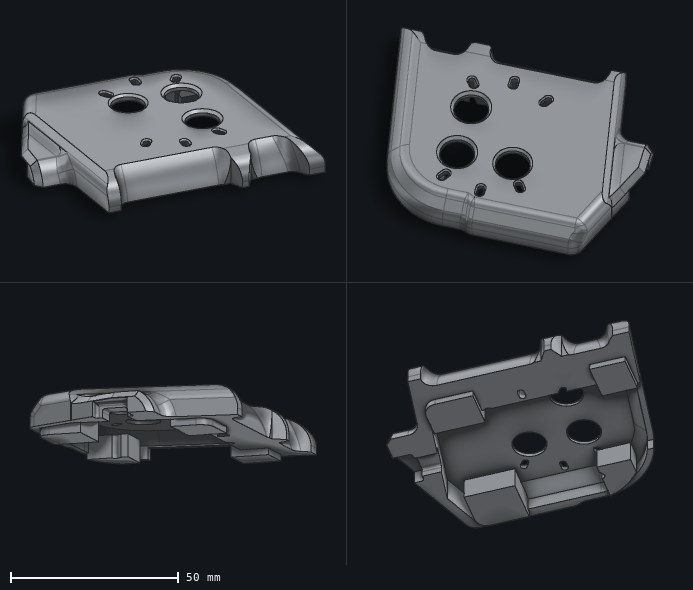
import cadquery as cq
import math

length_x = 66.0
length_y = 83.7
height = 9.95
foot_height = 2.0
wall = 2.0
overcut = 8.4

slope = math.tan(math.radians(9.2))
step_depth = 1.1
step_start, step_end = 46.0, 48.2
back_corner_radius = 22.0
edge_radius = 4.0
edge_chamfer = 5.0

front_left_x = 31.2
slant = math.tan(math.radians(22.6))
front_right_x = 44.2
front_right_radius = 10.6
shelf_tilt = math.radians(77)
shelf_rounding = 0.8
shelf_top_x = 39.15
shelf_height = 6.8
shelf_left_x = 16.3
shelf_chamfer = 2.0
ridge_end_y = 14.4
ridge_chamfer = 3.0
bevel_foot_z = height - ridge_chamfer

nose_radius = 7.95
recess_top_x, recess_foot_x = 56.2, 61.9
recess_radius = 20.1
recess_fillet = 3.7
cut_start_x = 50.2
prong_front_y = 18.4
prong_root_x = 62.25
prong_root_low, prong_root_high = 54.9, 61.3
prong_tip_low, prong_tip_high = 57.15, 59.2
back_prong_root, back_prong_middle, back_prong_tip = (55.9, 73.6), (61.9, 75.55), (66.0, 78.6)

hole_diameter = 10.4
hole_pitch = 17.1
hole_x, hole_y = 21.5, 55.1
hole_layout = [
    (hole_x, hole_y, 0.9),
    (hole_x + hole_pitch, hole_y, 0.9),
    (hole_x, hole_y - hole_pitch, 0.75),
]
slot_center = (30.0, 45.0)
slot_length, slot_width, slot_chamfer = 3.8, 2.0, 0.5
slot_angle = 34.0
slot_layout = [
    (0, 20.4),
    (slot_angle, 21.25),
    (180 - slot_angle, 21.25),
    (180, 20.4),
    (180 + slot_angle, 19.6),
    (-slot_angle, 19.6),
]

cavity_right_x = 47.4
slant_inset = 3.35

plug_center_x = 30.2
plug_width, plug_height, plug_depth = 12.0, 4.6, 6.0
plug_rounding = 1.0
passage_width, passage_height = 7.95, 2.85
window_left_x = 16.4
window_height = 3.6

foot_left, foot_right = (1.8, 15.8), (44.35, 56.3)
foot_front = (15.7, 31.6)
foot_back_left, foot_back_right = (57.3, 67.85), (68.2, 79.3)
foot_top = 5.0


def prism(points, z_low, z_high):
    """Vertical prism over a closed polygon."""
    return cq.Workplane("XY", origin=(0, 0, z_low)).polyline(points).close().extrude(z_high - z_low)


def ridge_y(x, setback=0.0):
    """Y of the ridge foot line at x, moved back at right angles by setback."""
    return ridge_end_y - slope * (length_x - x) + setback * math.hypot(1, slope)


def slant_y(x):
    """Y of the slanted front wall at x."""
    return slant * (front_left_x - x)


def back_y(x):
    """Y of the back wall at x."""
    return length_y - slope * (length_x - x)


def nearest(*point):
    """Selector for the edge or face whose centre is nearest to a point."""
    return cq.selectors.NearestToPointSelector(point)


def bevel_rim(body, rim_x, y):
    """Bevel the top edge running past (rim_x, y) and round both edges of the bevel."""
    body = body.edges(nearest(rim_x, y, height)).chamfer(edge_chamfer)
    body = body.edges(nearest(rim_x + edge_chamfer, y, height)).fillet(edge_radius)
    return body.edges(nearest(rim_x, y, height - edge_chamfer)).fillet(edge_radius)


def left_back_body():
    """Block with the stepped left wall and tilted back wall, both bevelled and rounded."""
    far_x = length_x + 2 * overcut
    front_y = -2 * overcut
    back_part = prism(
        [(step_depth, front_y), (step_depth, back_y(step_depth)), (far_x, back_y(far_x)), (far_x, front_y)],
        0,
        height,
    )
    back_part = back_part.edges(nearest(step_depth, back_y(step_depth), height / 2)).fillet(back_corner_radius)
    back_part = bevel_rim(back_part, step_depth, back_y(0) / 3)

    front_part = cq.Workplane("XY").box(far_x, step_start - front_y, height, centered=False)
    front_part = bevel_rim(front_part.translate((0, front_y, 0)), 0, (step_start + front_y) / 2)
    end_face = front_part.faces(">Y").val()
    ramp = cq.Solid.extrudeLinear(end_face, cq.Vector(step_depth, step_end - step_start, 0))
    body = back_part.union(front_part).union(cq.Workplane(ramp))
    for y in (step_start, step_end):
        body = body.edges(cq.selectors.BoxSelector((-0.8, y - 0.1, 0.1), (edge_chamfer + 2.5, y + 0.1, height - 0.1)))
        body = body.fillet(edge_radius)
    return body


def trim_slanted_front(body):
    """Cut the body along the slanted front wall, rounding its top edge and its corner."""
    left_x, right_x = -overcut, length_x + overcut
    keep = prism(
        [(left_x, slant_y(left_x)), (right_x, slant_y(right_x)), (right_x, 2 * length_y), (left_x, 2 * length_y)],
        0,
        height,
    )
    mid_x = (left_x + right_x) / 2
    keep = keep.edges(nearest(mid_x, slant_y(mid_x), height)).fillet(edge_radius)
    body = body.intersect(keep)
    crease = cq.selectors.BoxSelector((-0.8, slant_y(0) - 0.8, 0.1), (6.7, slant_y(0) + 4.2, height - 0.1))
    return body.edges(crease).fillet(edge_radius)


def trim_ridge(body):
    """Cut the body along the bevelled ridge at its front."""
    left_x, right_x = -overcut, length_x + overcut
    keep = prism(
        [(left_x, ridge_y(left_x)), (right_x, ridge_y(right_x)), (right_x, 2 * length_y), (left_x, 2 * length_y)],
        0,
        height,
    )
    mid_x = (left_x + right_x) / 2
    keep = keep.edges(nearest(mid_x, ridge_y(mid_x), height)).chamfer(ridge_chamfer)
    keep = keep.edges(nearest(mid_x, ridge_y(mid_x), bevel_foot_z)).fillet(edge_radius)
    return body.intersect(keep)


def shelf_curved_end():
    """Block up to the curved right end of the shelf, tall enough to take in its rear cove."""
    center_x = front_right_x - front_right_radius * math.sin(shelf_tilt)
    center_z = -front_right_radius * math.cos(shelf_tilt)
    top_z = height - wall
    top_x = center_x + math.sqrt(front_right_radius**2 - (top_z - center_z) ** 2)
    return (
        cq.Workplane("XZ")
        .moveTo(0, 0)
        .lineTo(front_right_x, 0)
        .radiusArc((top_x, top_z), -front_right_radius)
        .lineTo(0, top_z)
        .close()
        .extrude(-length_y / 2)
    )


def coved_slab():
    """Slab along the ridge: level in front, sweeping up at the rear into the 45 degree bevel."""
    rear = 2.5
    front = 2 * overcut
    cove_center_z = shelf_height + edge_radius
    cove_front = edge_radius * math.sqrt(2) - (cove_center_z - bevel_foot_z)
    half_chord = edge_radius * math.sqrt(0.5)
    cove_rear_z = cove_center_z - half_chord
    middle_angle = math.radians(22.5)
    cove_middle = (
        cove_front - edge_radius * math.sin(middle_angle),
        cove_center_z - edge_radius * math.cos(middle_angle),
    )
    direction = cq.Vector(1, slope, 0).normalized()
    plane = cq.Plane(origin=(0, ridge_y(0), 0), xDir=(direction.y, -direction.x, 0), normal=(-direction).toTuple())
    return (
        cq.Workplane(plane)
        .moveTo(-rear, 0)
        .lineTo(front, 0)
        .lineTo(front, shelf_height)
        .lineTo(cove_front, shelf_height)
        .threePointArc(cove_middle, (cove_front - half_chord, cove_rear_z))
        .lineTo(-rear, cove_rear_z)
        .close()
        .extrude(-length_x)
    )


def front_shelf():
    """Low shelf in front of the ridge, with a curved right end and a bevelled front rim."""
    far_y = length_y / 2
    plan = [
        (shelf_left_x, slant_y(shelf_left_x)),
        (front_left_x, 0),
        (length_x, 0),
        (length_x, far_y),
        (shelf_left_x, far_y),
    ]
    shelf = coved_slab().intersect(prism(plan, 0, height)).intersect(shelf_curved_end())
    slant_mid_x = (shelf_left_x + front_left_x) / 2
    front_mid_x = (front_left_x + front_right_x) / 2
    rim = shelf.edges(nearest(slant_mid_x, slant_y(slant_mid_x), shelf_height))
    rim = rim.add(shelf.edges(nearest(front_mid_x, 0, shelf_height)))
    rim = rim.add(shelf.edges(nearest(front_right_x, 0, shelf_height / 2)))
    shelf = rim.chamfer(shelf_chamfer)
    return shelf.edges(nearest(shelf_top_x, ridge_y(front_right_x) / 2, shelf_height)).fillet(shelf_rounding)


def shell_block():
    """Solid outer shape before the right side is shaped and the inside hollowed."""
    body = trim_ridge(trim_slanted_front(left_back_body())).union(front_shelf())
    crease = nearest(front_right_x - 1.7, ridge_y(front_right_x), bevel_foot_z / 2)
    return body.edges(crease).fillet(edge_radius)


def nose():
    """Block up to the right end of the part, rounded over along its top edge."""
    block = cq.Workplane("XY").box(length_x + overcut, length_y + 2 * overcut, height, centered=False)
    return block.translate((-overcut, -overcut, 0)).edges(">X and >Z").fillet(nose_radius)


def recess_cutter(plan):
    """Cutter leaving a curved wall between two prongs, with coves at both ends of the wall."""
    cutter = (
        cq.Workplane("XZ", origin=(0, -overcut, 0))
        .moveTo(recess_foot_x, 0)
        .radiusArc((recess_top_x, height), -recess_radius)
        .lineTo(length_x + overcut, height)
        .lineTo(length_x + overcut, 0)
        .close()
        .extrude(-(length_y + 2 * overcut))
        .intersect(plan.extrude(height))
    )
    wall_ends = cq.selectors.BoxSelector((recess_top_x, 0, 1.7), (recess_foot_x, length_y, height - 1.7))
    for crease in cutter.edges(wall_ends).vals():
        cutter = cutter.edges(nearest(*crease.Center().toTuple())).fillet(recess_fillet)
    return cutter


def cut_right_side(body):
    """Shape the rounded right end and cut the two recesses between its three prongs."""
    body = body.intersect(nose())
    far_x = length_x + overcut
    front_plan = cq.Workplane("XY").polyline(
        [
            (cut_start_x, prong_front_y),
            (far_x, prong_front_y),
            (far_x, prong_root_low),
            (cut_start_x, prong_root_low),
        ]
    )
    back_plan = (
        cq.Workplane("XY")
        .moveTo(cut_start_x, prong_root_high)
        .lineTo(far_x, prong_root_high)
        .lineTo(far_x, back_prong_tip[1])
        .lineTo(*back_prong_tip)
        .threePointArc(back_prong_middle, back_prong_root)
        .lineTo(cut_start_x, back_prong_root[1])
    )
    for plan in (front_plan, back_plan):
        body = body.cut(recess_cutter(plan.close()))
    for root_y, tip_y in ((prong_root_low, prong_tip_low), (prong_root_high, prong_tip_high)):
        cove_y = root_y + math.copysign(recess_fillet, root_y - tip_y)
        taper = [(prong_root_x, root_y), (length_x, tip_y), (length_x, cove_y), (prong_root_x, cove_y)]
        body = body.cut(prism(taper, 0, height))
    return body


def hollow(body):
    """Hollow the body from below, leaving the plate and the walls."""
    left_x = step_depth + wall
    front_setback = 2 * wall
    slant_end_x = (slant * front_left_x + slant_inset - ridge_y(0, front_setback)) / (slope + slant)
    cavity = prism(
        [
            (left_x, slant_y(left_x) + slant_inset),
            (slant_end_x, ridge_y(slant_end_x, front_setback)),
            (cavity_right_x, ridge_y(cavity_right_x, front_setback)),
            (cavity_right_x, back_y(cavity_right_x) - wall),
            (left_x, back_y(left_x) - wall),
        ],
        -foot_height,
        height - wall,
    )
    cavity = cavity.edges(nearest(left_x, back_y(left_x) - wall, height / 2)).fillet(back_corner_radius - wall)
    bevel = edge_chamfer - wall * (2 - math.sqrt(2))
    cavity = cavity.edges(nearest(left_x, length_y / 3, height - wall)).chamfer(bevel)
    return body.cut(cavity)


def foot(x_span, y_span, big_corner=None):
    """Foot pad below the shell; one corner may be rounded."""
    (x_low, x_high), (y_low, y_high) = x_span, y_span
    plan = [(x_low, y_low), (x_high, y_low), (x_high, y_high), (x_low, y_high)]
    pad = prism(plan, -foot_height, foot_top)
    if big_corner:
        pad = pad.edges("|Z").edges(big_corner).fillet(edge_radius)
    return pad


def add_feet(body):
    """Add a foot pad below each corner of the shell."""
    corner_x = step_depth + back_corner_radius
    corner_y = back_y(0) - back_corner_radius
    corner_disc = cq.Workplane("XY", origin=(corner_x, corner_y, -foot_height))
    corner_disc = corner_disc.circle(corner_x - foot_left[0]).extrude(foot_top + foot_height)
    feet = [
        foot(foot_left, foot_front, "<X and <Y"),
        foot(foot_right, foot_front, ">X and <Y"),
        foot(foot_left, foot_back_left).intersect(corner_disc),
        foot(foot_right, foot_back_right),
    ]
    for pad in feet:
        body = body.union(pad)
    return body


def cut_back_window(body):
    """Cut the low opening in the back wall."""
    window = prism(
        [
            (window_left_x, length_y / 2 + overcut),
            (foot_right[0], foot_back_right[0]),
            (foot_right[0], length_y),
            (window_left_x, length_y),
        ],
        0,
        window_height,
    )
    return body.cut(window)


def cut_plug_opening(body):
    """Cut the cable plug recess in the front wall and the narrower passage behind it."""
    recess = cq.Workplane("XY").box(plug_width, 2 * plug_depth, plug_height, centered=(True, True, False))
    recess = recess.edges(">Y and (not <Z)").fillet(plug_rounding)
    passage = cq.Workplane("XY").box(passage_width, length_y / 2, passage_height, centered=(True, True, False))
    passage = passage.edges("|Y and >Z").fillet(plug_rounding)
    return body.cut(recess.union(passage).translate((plug_center_x, 0, 0)))


def cut_slots(body):
    """Cut the six countersunk slots, each pointing at the middle of the pattern."""
    for angle, distance in slot_layout:
        through = cq.Workplane("XY", origin=(distance, 0, -foot_height)).slot2D(slot_length, slot_width)
        through = through.extrude(height + foot_height)
        mouth = cq.Workplane("XY", origin=(distance, 0, height))
        mouth = mouth.slot2D(slot_length + 2 * slot_chamfer, slot_width + 2 * slot_chamfer)
        mouth = mouth.extrude(-slot_chamfer, taper=45)
        cutter = through.union(mouth).rotate((0, 0, 0), (0, 0, 1), angle)
        body = body.cut(cutter.translate((*slot_center, 0)))
    return body


def cut_holes(body):
    """Cut the three round countersunk holes through the plate."""
    radius = hole_diameter / 2
    plate_bottom = height - wall
    for x, y, chamfer in hole_layout:
        cutter = (
            cq.Workplane("XZ")
            .polyline(
                [
                    (0, plate_bottom),
                    (radius, plate_bottom),
                    (radius, height - chamfer),
                    (radius + chamfer, height),
                    (0, height),
                ]
            )
            .close()
            .revolve(360, (0, 0, 0), (0, 1, 0))
        )
        body = body.cut(cutter.translate((x, y, 0)))
    return body


body = cut_right_side(shell_block())
for step in (hollow, cut_plug_opening, cut_back_window, add_feet, cut_slots, cut_holes):
    body = step(body)
result = body